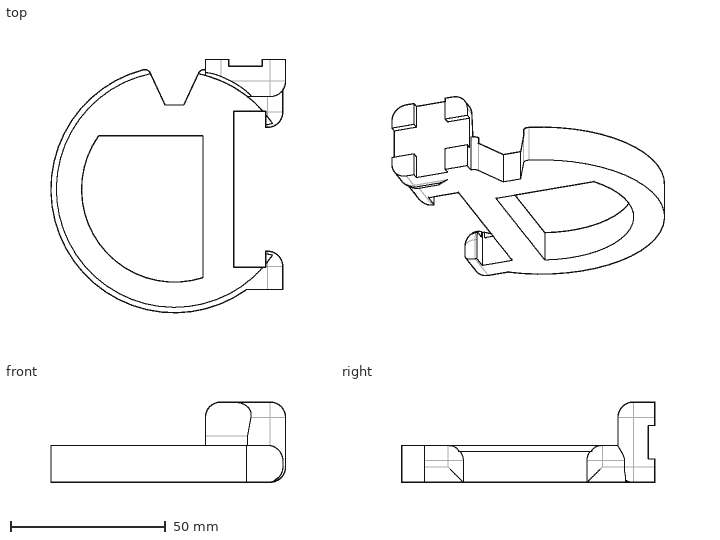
import cadquery as cq
import math

ring_radius = 40.0
ring_height = 12.0
edge_radius = 5.0

seat_radius = 38.2
seat_floor = 10.0
seat_taper_start = 15.0
seat_taper_angle = 6.65

window_radius = 30.0
window_right = 9.2
window_top = 17.25

crossbar_width = 10.0
opening_left = window_right + crossbar_width
opening_right = 29.5
opening_half_width = 25.2
arm_right = 35.1
arm_half_span = 32.5
arm_gap_half_width = 20.0

notch_bottom = 27.3
notch_half_width = 3.0
notch_angle = 25.0
notch_corner_radius = 2.0

block_left = 10.0
block_right = 36.0
block_front = 30.0
block_back = 42.0
block_height = 26.0
channel_width = 10.75
channel_depth = 2.15


def box(x_range, y_range, z_range):
    """Box spanning the given (low, high) ranges."""
    size = [high - low for low, high in (x_range, y_range, z_range)]
    corner = (x_range[0], y_range[0], z_range[0])
    return cq.Workplane("XY").box(*size, centered=False).translate(corner)


def make_notched_disc():
    """Full disc with the V notch, its outer corners rounded."""
    flank_run = ring_radius - notch_bottom
    mouth_half_width = notch_half_width + flank_run * math.tan(math.radians(notch_angle))
    notch = (
        cq.Workplane("XY")
        .moveTo(-notch_half_width, notch_bottom)
        .lineTo(notch_half_width, notch_bottom)
        .lineTo(mouth_half_width, ring_radius)
        .lineTo(-mouth_half_width, ring_radius)
        .close()
        .extrude(ring_height)
    )
    disc = cq.Workplane("XY").circle(ring_radius).extrude(ring_height).cut(notch)
    corner_zone = cq.selectors.BoxSelector(
        (-mouth_half_width, notch_bottom + flank_run / 2, 0),
        (mouth_half_width, ring_radius, ring_height),
    )
    return disc.edges("|Z").edges(corner_zone).fillet(notch_corner_radius)


def make_window():
    """Part of a circle bounded by the crossbar and a straight top edge."""
    limits = box((-window_radius, window_right), (-window_radius, window_top), (0, ring_height))
    return cq.Workplane("XY").circle(window_radius).extrude(ring_height).intersect(limits)


def make_opening():
    """Cutter for the side opening, running out past the ring between the arms."""
    height = (0, ring_height)
    inner = box(
        (opening_left, opening_right), (-opening_half_width, opening_half_width), height
    )
    mouth = box((opening_left, arm_right), (-arm_gap_half_width, arm_gap_half_width), height)
    return inner.union(mouth)


def make_arm():
    """Arm on the +Y side, rounded along its outer side and over the top and corner of its tip."""
    arm = box((opening_left, arm_right), (arm_gap_half_width, arm_half_span), (0, ring_height))
    tip_corner = arm.faces(">X").edges("<Y")
    outer_edges = arm.faces(">X").edges("|Y")
    tip_top_edge = arm.faces("<Y").edges("|X and >Z")
    rounded_edges = tip_corner.vals() + outer_edges.vals() + tip_top_edge.vals()
    return arm.newObject(rounded_edges).fillet(edge_radius)


def make_block():
    """Rounded mounting block with crossed channels in its back face."""
    block = box((block_left, block_right), (block_front, block_back), (0, block_height))
    side_edges = block.faces(">X").edges("not >Y")
    top_edges = block.faces(">Z").edges("<X or <Y")
    bottom_edge = block.faces("<Z").edges("<Y")
    rounded_edges = side_edges.vals() + top_edges.vals() + bottom_edge.vals()
    block = block.newObject(rounded_edges).fillet(edge_radius)

    middle_x = (block_left + block_right) / 2
    middle_z = block_height / 2
    half = channel_width / 2
    depth_range = (block_back - channel_depth, block_back)
    upright = box((middle_x - half, middle_x + half), depth_range, (0, block_height))
    level = box((block_left, block_right), depth_range, (middle_z - half, middle_z + half))
    return block.cut(upright).cut(level)


def make_seat():
    """Cutter for the recess: a straight cylinder topped by a widening cone."""
    taper_height = block_height - seat_taper_start
    top_radius = seat_radius + taper_height * math.tan(math.radians(seat_taper_angle))
    return (
        cq.Workplane("XZ")
        .moveTo(0, seat_floor)
        .lineTo(seat_radius, seat_floor)
        .lineTo(seat_radius, seat_taper_start)
        .lineTo(top_radius, block_height)
        .lineTo(0, block_height)
        .close()
        .revolve(360, (0, 0, 0), (0, 1, 0))
    )


arm_zone = box((opening_right, ring_radius), (-arm_half_span, arm_half_span), (0, ring_height))
upper_arm = make_arm()
lower_arm = upper_arm.mirror("XZ")

result = (
    make_notched_disc()
    .cut(make_window())
    .cut(arm_zone)
    .union(upper_arm)
    .union(lower_arm)
    .union(make_block())
    .cut(make_opening())
    .cut(make_seat())
)